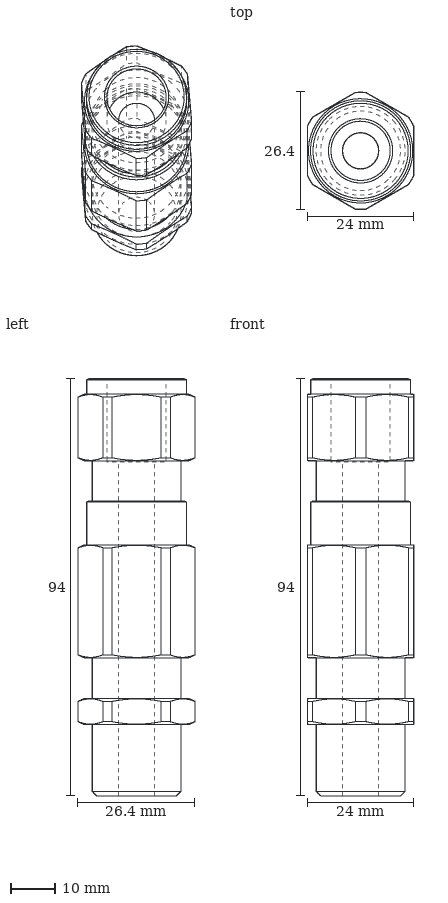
import cadquery as cq
import math

LENGTH = 94.0
LOCK_HEX_BOTTOM = 16.1
LOCK_HEX_TOP = 22.0
BODY_HEX_BOTTOM = 31.1
BODY_HEX_TOP = 56.6
BODY_COLLAR_TOP = 66.5
NUT_HEX_BOTTOM = 75.5
NUT_HEX_TOP = 90.5

SHANK_RADIUS = 20.0 / 2
COLLAR_RADIUS = 11.3
END_CHAMFER = 1.0
COLLAR_CHAMFER_WIDTH = 0.6
COLLAR_CHAMFER_HEIGHT = 0.3

ACROSS_FLATS = 24.0
CORNER_RADIUS = 26.4 / 2
CHAMFER_START_RADIUS = 11.75
CHAMFER_ANGLE = math.radians(25)

BORE_RADIUS = 4.0
SOCKET_RADIUS = 6.7
SOCKET_DEPTH = 18.8
SOCKET_CHAMFER_WIDTH = 0.6
SOCKET_CHAMFER_HEIGHT = 0.3


def cylinder(radius, bottom, top):
    return cq.Workplane("XY").workplane(offset=bottom).circle(radius).extrude(top - bottom)


def revolve_profile(points):
    """Revolve a closed (radius, height) profile about the Z axis."""
    return cq.Workplane("XZ").polyline(points).close().revolve(360, (0, 0), (0, 1))


def hex_section(bottom, top):
    """Hexagon with flats facing +X and -X, trimmed by a double-chamfered cylinder."""
    across_corners = ACROSS_FLATS / math.cos(math.pi / 6)
    prism = (
        cq.Workplane("XY", origin=(0, 0, bottom))
        .transformed(rotate=(0, 0, 90))
        .polygon(6, across_corners)
        .extrude(top - bottom)
    )
    drop = (CORNER_RADIUS - CHAMFER_START_RADIUS) * math.tan(CHAMFER_ANGLE)
    envelope = revolve_profile([
        (0, bottom),
        (CHAMFER_START_RADIUS, bottom),
        (CORNER_RADIUS, bottom + drop),
        (CORNER_RADIUS, top - drop),
        (CHAMFER_START_RADIUS, top),
        (0, top),
    ])
    return prism.intersect(envelope)


def collar(bottom, top):
    """Round collar with a shallow chamfer around its upper edge."""
    return revolve_profile([
        (0, bottom),
        (COLLAR_RADIUS, bottom),
        (COLLAR_RADIUS, top - COLLAR_CHAMFER_HEIGHT),
        (COLLAR_RADIUS - COLLAR_CHAMFER_WIDTH, top),
        (0, top),
    ])


def bore_cutter():
    """Through bore with a wider, chamfered tube socket at the top."""
    socket_bottom = LENGTH - SOCKET_DEPTH
    return revolve_profile([
        (0, 0),
        (BORE_RADIUS, 0),
        (BORE_RADIUS, socket_bottom),
        (SOCKET_RADIUS, socket_bottom),
        (SOCKET_RADIUS, LENGTH - SOCKET_CHAMFER_HEIGHT),
        (SOCKET_RADIUS + SOCKET_CHAMFER_WIDTH, LENGTH),
        (0, LENGTH),
    ])


result = cylinder(SHANK_RADIUS, 0, NUT_HEX_TOP).faces("<Z").chamfer(END_CHAMFER)

for hex_bottom, hex_top in (
    (LOCK_HEX_BOTTOM, LOCK_HEX_TOP),
    (BODY_HEX_BOTTOM, BODY_HEX_TOP),
    (NUT_HEX_BOTTOM, NUT_HEX_TOP),
):
    result = result.union(hex_section(hex_bottom, hex_top))

for collar_bottom, collar_top in ((BODY_HEX_TOP, BODY_COLLAR_TOP), (NUT_HEX_TOP, LENGTH)):
    result = result.union(collar(collar_bottom, collar_top))

result = result.cut(bore_cutter())